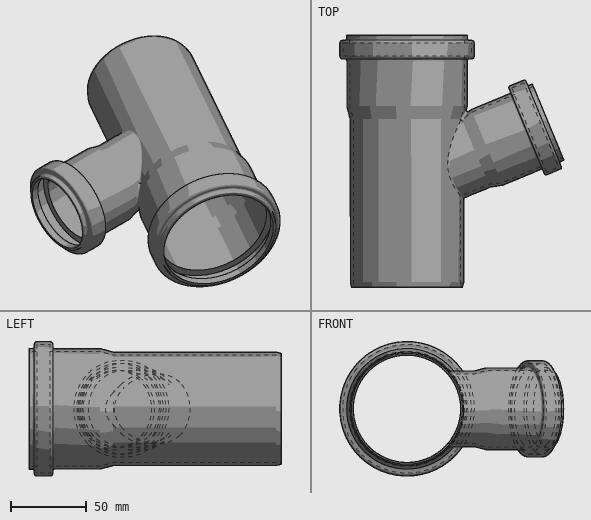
import cadquery as cq
import math

MAIN = {
    "pipe_od": 75.2,
    "pipe_id": 71.0,
    "socket_od": 79.9,
    "lip_od": 80.2,
    "head_od": 89.2,
    "wall": 2.0,
    "reach": 96.2,
    "head_front": 3.3,
    "head_back": 15.8,
    "socket_depth": 47.1,
    "cone_length": 8.7,
    "head_round": 2.0,
}
MAIN_AXIS = cq.Vector(0, 1, 0)
MAIN_LENGTH = 167.0
SPIGOT_TAPER_LENGTH = 3.3
SPIGOT_TAPER_ANGLE = 15.0

BRANCH = {
    "pipe_od": 50.4,
    "pipe_id": 46.2,
    "socket_od": 54.4,
    "lip_od": 54.7,
    "head_od": 63.9,
    "wall": 1.8,
    "reach": 101.2,
    "head_front": 3.2,
    "head_back": 15.5,
    "socket_depth": 43.8,
    "cone_length": 8.2,
    "head_round": 1.3,
}
BRANCH_LEAN = 22.5
BRANCH_AXIS = cq.Vector(
    math.cos(math.radians(BRANCH_LEAN)),
    math.sin(math.radians(BRANCH_LEAN)),
    0,
)

LIP_ROUND = 0.5
ROOT_ROUND = 1.0
CROTCH_ROUND = 1.0

SPIGOT_END = MAIN["reach"] - MAIN_LENGTH
BRANCH_TAIL = 0.0
CROSSING_TAIL = -40.0
SEAM_TOLERANCE = 1e-3
SEAM_SAMPLE = 0.3


def cone_top(size):
    return size["reach"] - size["socket_depth"]


def cone_foot(size):
    return cone_top(size) - size["cone_length"]


def cone_slope(size):
    return (size["socket_od"] - size["pipe_od"]) / 2 / size["cone_length"]


def revolve_about(profile, axis):
    """Revolve a profile of (radius, height along axis) about an axis through the origin."""
    solid = profile.close().revolve(360, (0, 0, 0), (0, 1, 0))
    turn = math.degrees(math.atan2(axis.y, axis.x)) - 90
    return solid.rotate((0, 0, 0), (0, 0, 1), turn)


def outside(size, axis, tail):
    """Solid outer shape of a pipe and its socket, from the tail height to the mouth."""
    pipe_r = size["pipe_od"] / 2
    socket_r = size["socket_od"] / 2
    lip_r = size["lip_od"] / 2
    head_r = size["head_od"] / 2
    head_round = size["head_round"]
    mouth = size["reach"]
    head_front = mouth - size["head_front"]
    head_back = mouth - size["head_back"]
    profile = (
        cq.Workplane("XY")
        .moveTo(0, tail)
        .lineTo(pipe_r, tail)
        .lineTo(pipe_r, cone_foot(size))
        .lineTo(socket_r, cone_top(size))
        .lineTo(socket_r, head_back - ROOT_ROUND)
        .radiusArc((socket_r + ROOT_ROUND, head_back), ROOT_ROUND)
        .lineTo(head_r - head_round, head_back)
        .radiusArc((head_r, head_back + head_round), -head_round)
        .lineTo(head_r, head_front - head_round)
        .radiusArc((head_r - head_round, head_front), -head_round)
        .lineTo(lip_r + ROOT_ROUND, head_front)
        .radiusArc((lip_r, head_front + ROOT_ROUND), ROOT_ROUND)
        .lineTo(lip_r, mouth - LIP_ROUND)
        .radiusArc((lip_r - LIP_ROUND, mouth), -LIP_ROUND)
        .lineTo(0, mouth)
    )
    return revolve_about(profile, axis)


def bore(size, axis, tail):
    """Inner space of a pipe and its socket, with the seal groove inside the head."""
    wall = size["wall"]
    pipe_r = size["pipe_id"] / 2
    socket_r = size["socket_od"] / 2 - wall
    lip_r = size["lip_od"] / 2 - wall
    groove_r = size["head_od"] / 2 - wall
    mouth = size["reach"]
    groove_front = mouth - size["head_front"] - wall
    groove_back = mouth - size["head_back"] + wall
    profile = (
        cq.Workplane("XY")
        .moveTo(0, tail)
        .lineTo(pipe_r, tail)
        .lineTo(pipe_r, cone_foot(size))
        .lineTo(socket_r, cone_top(size))
        .lineTo(socket_r, groove_back)
        .lineTo(groove_r, groove_back)
        .lineTo(groove_r, groove_front)
        .lineTo(lip_r, groove_front)
        .lineTo(lip_r, mouth)
        .lineTo(0, mouth)
    )
    return revolve_about(profile, axis)


def main_outside():
    """Outer shape of the main run with the tapered spigot end."""
    inset = SPIGOT_TAPER_LENGTH * math.tan(math.radians(SPIGOT_TAPER_ANGLE))
    return outside(MAIN, MAIN_AXIS, SPIGOT_END).faces("<Y").chamfer(inset, SPIGOT_TAPER_LENGTH)


def tapered_bar(size, axis, tail, slope):
    """Solid bar up to the top of the cone; its radius shrinks by slope per mm towards the tail."""
    foot = cone_foot(size)
    top = cone_top(size)
    pipe_r = size["pipe_od"] / 2
    profile = (
        cq.Workplane("XY")
        .moveTo(0, tail)
        .lineTo(pipe_r - slope * (foot - tail), tail)
        .lineTo(pipe_r + slope * (top - foot), top)
        .lineTo(0, top)
    )
    return revolve_about(profile, axis)


def rounded_crossing(main_slope, branch_slope):
    """Crossing main and branch bars, fused, with the seam between them filleted."""
    main_bar = tapered_bar(MAIN, MAIN_AXIS, CROSSING_TAIL, main_slope)
    branch_bar = tapered_bar(BRANCH, BRANCH_AXIS, BRANCH_TAIL, branch_slope)

    def lies_on(edge, bar):
        point = cq.Vertex.makeVertex(*edge.positionAt(SEAM_SAMPLE).toTuple())
        return min(face.distance(point) for face in bar.faces().vals()) < SEAM_TOLERANCE

    crossing = main_bar.union(branch_bar)
    seam = [e for e in crossing.edges().vals() if lies_on(e, main_bar) and lies_on(e, branch_bar)]
    return crossing.newObject(seam).fillet(CROTCH_ROUND)


body = main_outside().union(outside(BRANCH, BRANCH_AXIS, BRANCH_TAIL))
body = body.union(rounded_crossing(0, 0))
body = body.union(rounded_crossing(cone_slope(MAIN), cone_slope(BRANCH)))

body = body.cut(bore(MAIN, MAIN_AXIS, SPIGOT_END))
body = body.cut(bore(BRANCH, BRANCH_AXIS, BRANCH_TAIL))

result = body